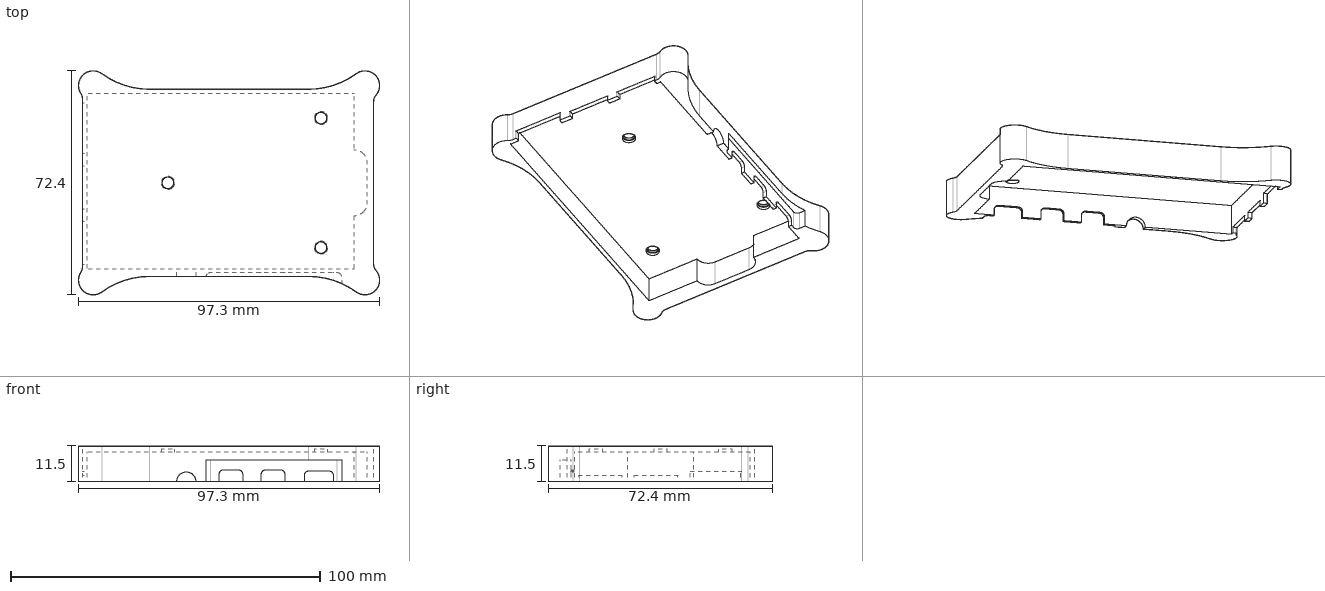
import cadquery as cq
import math

length = 97.3
width = 72.4
height = 11.5
wall = 1.5
top_thickness = 1.8

lobe_radius = 4.8
left_end = -47.4
right_end = 46.7
side_half_width = 30.25
long_side_blend_radius = 26.0
end_blend_radius = 3.2

recess_left = -7.5
recess_right = 36.4
recess_height = 6.9
recess_depth = 1.3
recess_radius = 1.5
recess_wall = 1.2

front_wall = recess_depth + recess_wall
card_relief_width = 21.3
card_relief_radius = 4.2
right_wall = 6.3

front_openings = [(0.6, 7.7, 3.8), (14.2, 7.7, 3.8), (29.0, 9.4, 3.4)]
opening_corner_radius = 1.5
round_opening_x = -13.8
round_opening_radius = 3.1

end_openings = [(17.6, 16.3, 3.2), (-1.6, 13.9, 1.9), (-19.4, 13.9, 1.9)]

lip_radius = 0.3

hole_diameter = 3.7
hole_lower_diameter = 4.3
hole_upper_depth = 0.9
hole_points = [(-19.7, 0), (29.7, 20.9), (29.7, -20.9)]


def box(x_min, x_max, y_min, y_max, z_max):
    """Block standing on the open bottom face."""
    block = cq.Workplane("XY").box(x_max - x_min, y_max - y_min, z_max, centered=False)
    return block.translate((x_min, y_min, 0))


def point_on_circle(center, radius, angle):
    return (center[0] + radius * math.cos(angle), center[1] + radius * math.sin(angle))


def corner_points(end_distance):
    """Arc end and middle points of the +X +Y corner, from the end face to the long face."""
    lobe = (length / 2 - lobe_radius, width / 2 - lobe_radius)

    end_x = end_distance + end_blend_radius
    end_reach = end_blend_radius + lobe_radius
    end_center = (end_x, lobe[1] - math.sqrt(end_reach**2 - (end_x - lobe[0]) ** 2))
    long_y = side_half_width + long_side_blend_radius
    long_reach = long_side_blend_radius + lobe_radius
    long_center = (lobe[0] - math.sqrt(long_reach**2 - (long_y - lobe[1]) ** 2), long_y)

    end_angle = math.atan2(end_center[1] - lobe[1], end_center[0] - lobe[0])
    long_angle = math.atan2(long_center[1] - lobe[1], long_center[0] - lobe[0])

    end_middle = math.pi + end_angle / 2
    long_middle = (long_angle - 1.5 * math.pi) / 2

    return [
        (end_distance, end_center[1]),
        point_on_circle(end_center, end_blend_radius, end_middle),
        point_on_circle(lobe, lobe_radius, end_angle),
        point_on_circle(lobe, lobe_radius, (end_angle + long_angle) / 2),
        point_on_circle(lobe, lobe_radius, long_angle),
        point_on_circle(long_center, long_side_blend_radius, long_middle),
        (long_center[0], side_half_width),
    ]


def make_outline():
    """Rectangle with a round lobe at each corner, blended into the flat faces."""
    right = corner_points(right_end)
    left = [(-x, y) for x, y in reversed(corner_points(-left_end))]
    back_half = [right, left]
    front_half = [[(x, -y) for x, y in reversed(corner)] for corner in reversed(back_half)]

    outline = cq.Workplane("XY").moveTo(right[0][0], 0)
    for corner in back_half + front_half:
        outline = outline.lineTo(*corner[0])
        for middle, end in zip(corner[1::2], corner[2::2]):
            outline = outline.threePointArc(middle, end)
    return outline.close()


def make_cavity():
    """Hollow under the top, with a rounded card relief into the +X wall."""
    top = height - top_thickness
    x_max = right_end - right_wall
    y_min = front_wall - side_half_width
    hollow = box(left_end + wall, x_max, y_min, side_half_width - wall, top)
    half_relief = card_relief_width / 2
    relief = box(0, x_max + card_relief_radius, -half_relief, half_relief, top)
    return hollow.union(relief.edges("|Z and >X").fillet(card_relief_radius))


def make_front_recess():
    """Shallow recess in the front face, rounded where it meets its floor."""
    floor_y = recess_depth - side_half_width
    recess = box(recess_left, recess_right, -width / 2, floor_y, recess_height)
    return recess.edges("|Z and >Y").fillet(recess_radius)


def make_front_openings():
    y_min = -width / 2
    y_max = front_wall - side_half_width
    start = cq.Workplane("XZ", origin=(round_opening_x, y_max, 0))
    cuts = start.circle(round_opening_radius).extrude(y_max - y_min)
    for center, opening_width, opening_height in front_openings:
        half = opening_width / 2
        opening = box(center - half, center + half, y_min, y_max, opening_height)
        cuts = cuts.union(opening.edges("|Y and >Z").fillet(opening_corner_radius))
    return cuts


def make_end_opening(center, opening_width, opening_height):
    """Opening through the -X wall whose upright outer edges are rounded."""
    half = opening_width / 2
    flare = half + lip_radius
    inside = left_end + wall
    return (
        cq.Workplane("XY")
        .moveTo(left_end, center - flare)
        .radiusArc((left_end + lip_radius, center - half), lip_radius)
        .lineTo(inside, center - half)
        .lineTo(inside, center + half)
        .lineTo(left_end + lip_radius, center + half)
        .radiusArc((left_end, center + flare), lip_radius)
        .close()
        .extrude(opening_height)
    )


def make_screw_holes():
    points = cq.Workplane("XY").pushPoints(hole_points)
    upper = points.circle(hole_diameter / 2).extrude(height)
    lower = points.circle(hole_lower_diameter / 2).extrude(height - hole_upper_depth)
    return upper.union(lower)


result = (
    make_outline()
    .extrude(height)
    .cut(make_cavity())
    .cut(make_front_recess())
    .cut(make_front_openings())
    .cut(make_screw_holes())
)
for opening in end_openings:
    result = result.cut(make_end_opening(*opening))